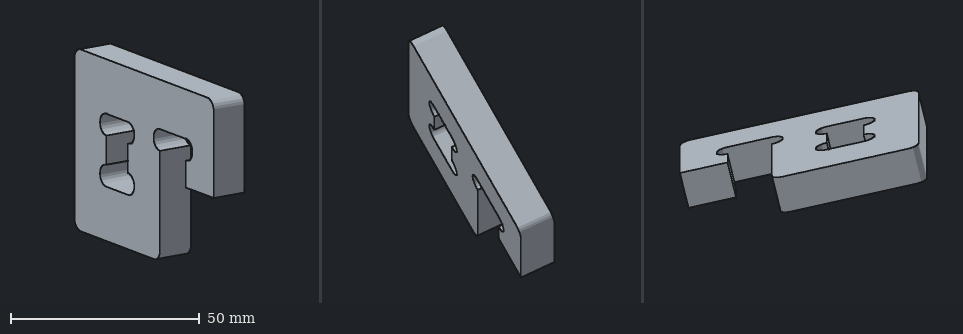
import cadquery as cq

length = 65.0
thickness = 10.0
height = 50.0
corner_radius = 3.0

body_width = 40.0
arm_tip_width = 13.0
arm_tip_drop = 27.0
hook_slot_top_drop = 13.6

window_width = 10.0
window_height = 20.0

relief_radius = 3.0

arm_tip_left = length - arm_tip_width
arm_tip_bottom = height - arm_tip_drop
hook_slot_width = arm_tip_left - body_width
hook_slot_top = height - hook_slot_top_drop


def box(x_min, x_max, z_min, z_max):
    """Block spanning the plate thickness."""
    return cq.Workplane("XY").box(
        x_max - x_min, thickness, z_max - z_min, centered=False
    ).translate((x_min, 0, z_min))


def relief_slot(x_center, z_center, center_distance):
    """Horizontal round-ended cutter through the plate thickness."""
    return (
        cq.Workplane("XZ", origin=(x_center, 0, z_center))
        .slot2D(center_distance + 2 * relief_radius, 2 * relief_radius)
        .extrude(-thickness)
    )


def plate():
    """Hook outline with four rounded corners; the arm tip stays sharp."""
    outline = (
        cq.Workplane("XZ")
        .moveTo(0, 0)
        .lineTo(body_width, 0)
        .lineTo(body_width, arm_tip_bottom)
        .lineTo(length, arm_tip_bottom)
        .lineTo(length, height)
        .lineTo(0, height)
        .close()
        .extrude(-thickness)
    )
    return outline.edges("|Y").edges("<Z or >Z").fillet(corner_radius)


def hook_slot():
    """Slot opening downward between body and arm tip."""
    neck = box(body_width, arm_tip_left, 0, hook_slot_top)
    relief = relief_slot(
        body_width + hook_slot_width / 2, hook_slot_top - relief_radius, hook_slot_width
    )
    return neck.union(relief)


def window():
    """Through window with a round-ended relief along its top and bottom."""
    x_center = body_width / 2
    z_center = height / 2
    cutter = box(
        x_center - window_width / 2,
        x_center + window_width / 2,
        z_center - window_height / 2,
        z_center + window_height / 2,
    )
    for side in (-1, 1):
        z_relief = z_center + side * (window_height / 2 - relief_radius)
        cutter = cutter.union(relief_slot(x_center, z_relief, window_width))
    return cutter


result = plate().cut(hook_slot()).cut(window())